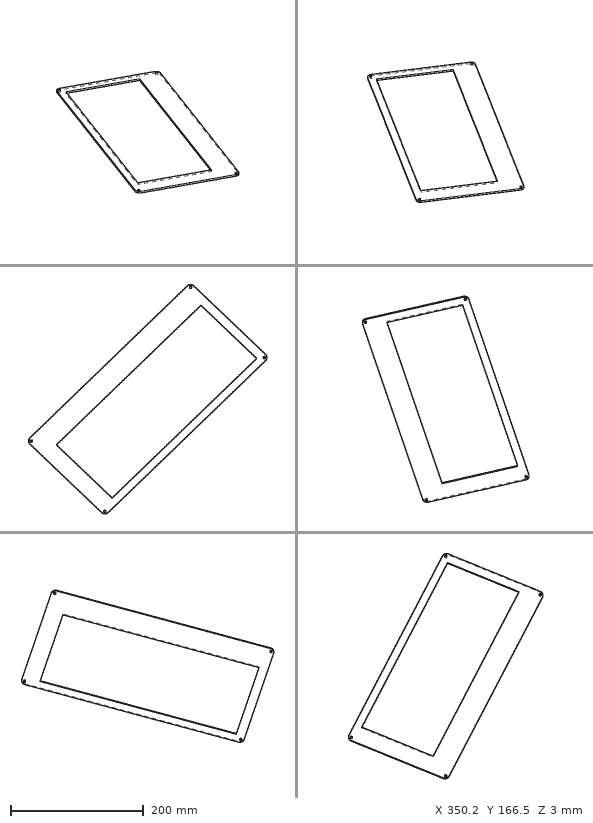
import cadquery as cq

LENGTH = 350.2
WIDTH = 166.5
THICKNESS = 3.0
CORNER_RADIUS = 7.0

LEFT_BORDER = 14.0
RIGHT_BORDER = 27.3
FRONT_BORDER = 12.0
BACK_BORDER = 36.0

HOLE_DIAMETER = 3.4
HOLE_INSET = 5.0


def rounded_plate():
    """Flat plate with its lower left corner at the origin and rounded vertical edges."""
    plate = cq.Workplane("XY").box(LENGTH, WIDTH, THICKNESS, centered=False)
    return plate.edges("|Z").fillet(CORNER_RADIUS)


def window_cutter():
    """Sharp-cornered block that opens the window through the plate."""
    window_length = LENGTH - LEFT_BORDER - RIGHT_BORDER
    window_width = WIDTH - FRONT_BORDER - BACK_BORDER
    block = cq.Workplane("XY").box(window_length, window_width, THICKNESS, centered=False)
    return block.translate((LEFT_BORDER, FRONT_BORDER, 0))


def screw_hole_cutters():
    """Cylinders for the through holes, one near each corner."""
    centers = [
        (x, y)
        for x in (HOLE_INSET, LENGTH - HOLE_INSET)
        for y in (HOLE_INSET, WIDTH - HOLE_INSET)
    ]
    return cq.Workplane("XY").pushPoints(centers).circle(HOLE_DIAMETER / 2).extrude(THICKNESS)


result = rounded_plate().cut(window_cutter()).cut(screw_hole_cutters())